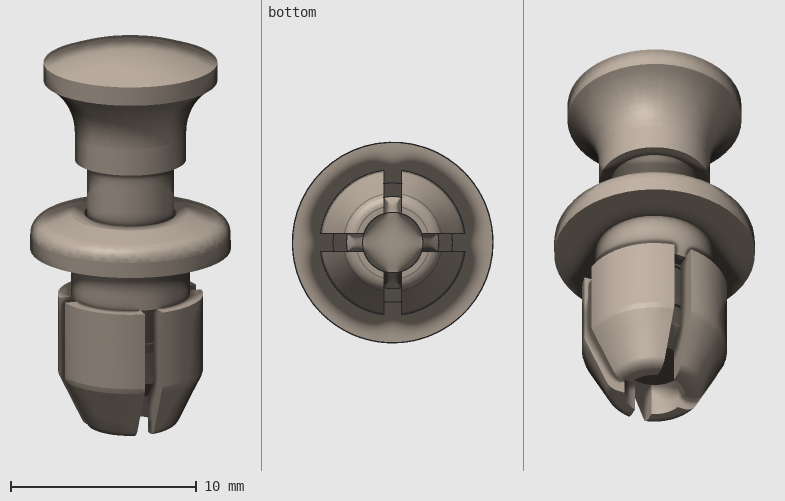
import cadquery as cq
import math

TOTAL_HEIGHT = 21.4
HEAD_RIM_TOP = 20.42
HEAD_RIM_BOTTOM = 19.39
COLLAR_TOP = 16.44
COLLAR_BOTTOM = 14.94
FLANGE_TOP = 11.92
FLANGE_BOTTOM = 9.9
BARREL_TOP = 7.38
BEAD_TOP = 5.18
BEAD_BOTTOM = 4.67
BULB_WIDEST = 3.0
PIN_BOTTOM = 2.05
TAPER_TOP = 3.04

HEAD_RADIUS = 4.69
COLLAR_RADIUS = 3.0
SHANK_RADIUS = 2.35
PIN_TIP_RADIUS = 1.63
WAIST_RADIUS = 2.18

FLANGE_DIAMETER = 10.8
FLANGE_RADIUS = FLANGE_DIAMETER / 2
FLANGE_FLAT_RADIUS = 3.2
FLANGE_SLOPE = 12.5
NECK_RADIUS = 3.2
BARREL_RADIUS = 3.92
NOSE_RADIUS = 2.45
BORE_RADIUS = 2.48
BEAD_RADIUS = SHANK_RADIUS
BULB_RADIUS = BORE_RADIUS

FLANGE_ROUND = 0.83
BARREL_ROUND = 0.7
NOSE_ROUND = 0.75
SLOT_WIDTH = 0.96


def make_pin():
    """Plunger: domed head on a flared collar, a shank, and a bulb at its lower end."""
    dome_rise = TOTAL_HEIGHT - HEAD_RIM_TOP
    dome_radius = (HEAD_RADIUS**2 + dome_rise**2) / (2 * dome_rise)
    dome_mid_x = HEAD_RADIUS / 2
    dome_mid_z = TOTAL_HEIGHT - dome_radius + math.sqrt(dome_radius**2 - dome_mid_x**2)

    profile = (
        cq.Workplane("XZ")
        .moveTo(0, PIN_BOTTOM)
        .lineTo(PIN_TIP_RADIUS, PIN_BOTTOM)
        .lineTo(BULB_RADIUS, BULB_WIDEST)
        .lineTo(WAIST_RADIUS, BEAD_BOTTOM)
        .lineTo(BEAD_RADIUS, BEAD_BOTTOM)
        .lineTo(BEAD_RADIUS, BEAD_TOP)
        .lineTo(WAIST_RADIUS, BEAD_TOP)
        .lineTo(WAIST_RADIUS, BARREL_TOP)
        .lineTo(SHANK_RADIUS, BARREL_TOP)
        .lineTo(SHANK_RADIUS, COLLAR_BOTTOM)
        .lineTo(COLLAR_RADIUS, COLLAR_BOTTOM)
        .lineTo(COLLAR_RADIUS, COLLAR_TOP)
        .tangentArcPoint((HEAD_RADIUS, HEAD_RIM_BOTTOM), relative=False)
        .lineTo(HEAD_RADIUS, HEAD_RIM_TOP)
        .threePointArc((dome_mid_x, dome_mid_z), (0, TOTAL_HEIGHT))
        .close()
    )
    return profile.revolve(360, (0, 0, 0), (0, 1, 0))


def ring_edges(body, radius, height):
    """Select the circular edge with this radius and height."""
    margin = 0.02
    reach = radius + margin
    ring = cq.selectors.BoxSelector(
        (-reach, -reach, height - margin), (reach, reach, height + margin), boundingbox=True
    )
    inner = cq.selectors.BoxSelector(
        (-radius + margin, -radius + margin, height - margin),
        (radius - margin, radius - margin, height + margin),
        boundingbox=True,
    )
    return body.edges(ring - inner)


def make_sleeve_blank():
    """Solid outer shape of the sleeve, with its corners rounded."""
    flange_drop = (FLANGE_RADIUS - FLANGE_FLAT_RADIUS) * math.tan(math.radians(FLANGE_SLOPE))
    flange_shoulder = FLANGE_TOP - flange_drop
    blank = (
        cq.Workplane("XZ")
        .lineTo(NOSE_RADIUS, 0)
        .lineTo(BARREL_RADIUS, TAPER_TOP)
        .lineTo(BARREL_RADIUS, BARREL_TOP)
        .lineTo(NECK_RADIUS, BARREL_TOP)
        .lineTo(NECK_RADIUS, FLANGE_BOTTOM)
        .lineTo(FLANGE_RADIUS, FLANGE_BOTTOM)
        .lineTo(FLANGE_RADIUS, flange_shoulder)
        .lineTo(FLANGE_FLAT_RADIUS, FLANGE_TOP)
        .lineTo(0, FLANGE_TOP)
        .close()
        .revolve(360, (0, 0, 0), (0, 1, 0))
    )
    blank = ring_edges(blank, FLANGE_RADIUS, flange_shoulder).fillet(FLANGE_ROUND)
    blank = ring_edges(blank, BARREL_RADIUS, TAPER_TOP).fillet(BARREL_ROUND)
    return ring_edges(blank, NOSE_RADIUS, 0).fillet(NOSE_ROUND)


def make_bore():
    """Through bore that narrows below the bulb to seat the pin tip."""
    return (
        cq.Workplane("XZ")
        .lineTo(PIN_TIP_RADIUS, 0)
        .lineTo(PIN_TIP_RADIUS, PIN_BOTTOM)
        .lineTo(BORE_RADIUS, BULB_WIDEST)
        .lineTo(BORE_RADIUS, FLANGE_TOP)
        .lineTo(0, FLANGE_TOP)
        .close()
        .revolve(360, (0, 0, 0), (0, 1, 0))
    )


def make_sleeve():
    """Flanged sleeve whose barrel is split into four fingers by crossed slots."""
    sleeve = make_sleeve_blank().cut(make_bore())
    slot = cq.Workplane("XY").box(
        FLANGE_DIAMETER, SLOT_WIDTH, BARREL_TOP, centered=(True, True, False)
    )
    for angle in (0, 90):
        sleeve = sleeve.cut(slot.rotate((0, 0, 0), (0, 0, 1), angle))
    return sleeve


pin = make_pin()
sleeve = make_sleeve()
result = cq.Compound.makeCompound([pin.val(), sleeve.val()])